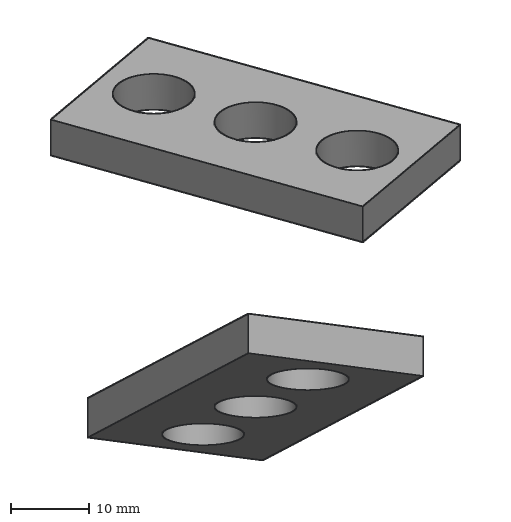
import cadquery as cq

length = 46.0
width = 25.0
thickness = 5.25

hole_diameter = 10.5
hole_count = 3
hole_pitch = 15.0

plate = cq.Workplane("XY").box(length, width, thickness, centered=(True, True, False))

result = (
    plate.faces(">Z")
    .workplane()
    .rarray(hole_pitch, 0.45, hole_count, 1)
    .hole(hole_diameter)
)